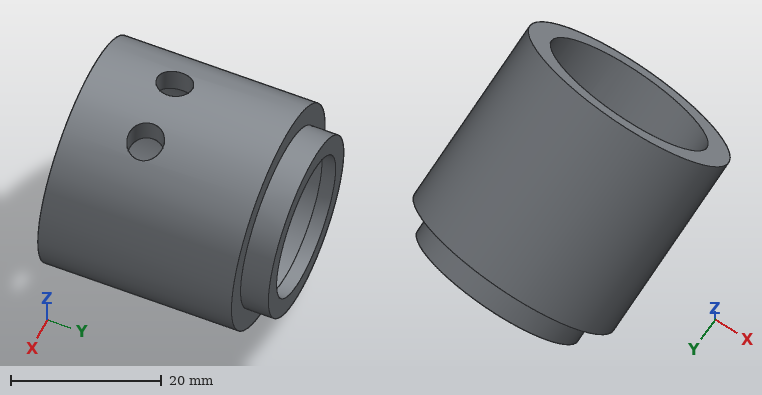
import cadquery as cq

body_diameter = 32
total_length = 31.85
neck_diameter = 25.8
neck_length = 4.0
body_length = total_length - neck_length

socket_diameter = 25.0
bore_diameter = 20.2
lip_thickness = 2.0
socket_depth = total_length - lip_thickness

hole_diameter = 5.0
hole_spacing = 10.0
hole_distance_from_front = 10.88

front_y = -total_length / 2


def cylinder_along_y(diameter, start_y, length):
    """Solid cylinder on the Y axis, growing toward +Y from start_y."""
    plane = cq.Workplane("XZ", origin=(0, start_y, 0))
    return plane.circle(diameter / 2).extrude(-length)


body = cylinder_along_y(body_diameter, front_y, body_length)
neck = cylinder_along_y(neck_diameter, front_y, total_length)
sleeve = body.union(neck)

sleeve = sleeve.cut(cylinder_along_y(socket_diameter, front_y, socket_depth))
sleeve = sleeve.cut(cylinder_along_y(bore_diameter, front_y, total_length))

holes = (
    cq.Workplane("XY")
    .pushPoints([(side * hole_spacing / 2, front_y + hole_distance_from_front) for side in (-1, 1)])
    .circle(hole_diameter / 2)
    .extrude(body_diameter / 2)
)

result = sleeve.cut(holes)